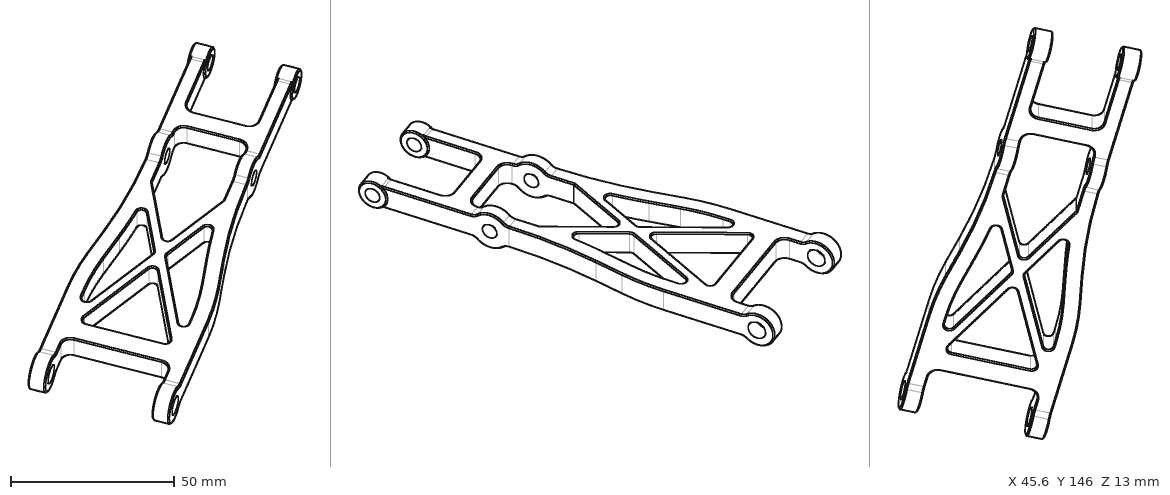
import cadquery as cq
import math

length = 146.0
half_length = length / 2
half_width = 22.8
plate_thickness = 8.0
half_thickness = plate_thickness / 2
edge_chamfer = 0.5

rear_radius = 5.0
rear_hole = 5.0
middle_radius = 6.5
middle_hole = 5.0
front_radius = 6.0
front_hole = 6.0
boss_spacing = 40.0
flare_radius = 3.0
flare_sink = 0.07

rear_y = half_length - rear_radius
middle_y = rear_y - boss_spacing
front_y = front_radius - half_length

rear_arm_outer = 16.5
rear_arm_width = 5.0
rear_arm_inner = rear_arm_outer - rear_arm_width
rear_boss_width = 6.0
front_arm_width = 5.5
front_arm_inner = half_width - front_arm_width

sweep_angle = math.radians(10.8)
upper_sweep_radius = 167.9
lower_sweep_radius = 80.3
sweep_end_y = -34.9

rear_bar_top = 44.4
rear_bar_bottom = 37.8
front_bar_top = -47.3
front_bar_bottom = -54.6
brace_y = -13.5
brace_slope = 0.5
brace_half_gap = 3.8
slot_corner = 3.0
brace_corner = 1.6

margin = 7.3
tall = 2 * (middle_radius + margin)


def prism(outline):
    """Close a plan outline and extrude it through the full height of the part."""
    return outline.close().extrude(tall / 2, both=True)


def both_sides(half):
    """Join a shape with its mirror image across the middle plane."""
    return half.union(half.mirror("YZ"))


def sweep_points(offset):
    """Ends of the swept side's arc, line and arc, moved inward by offset, rear end first."""
    upper = upper_sweep_radius + offset
    lower = lower_sweep_radius - offset
    radius_sum = upper_sweep_radius + lower_sweep_radius
    straight_dx = half_width - rear_arm_outer - radius_sum * (1 - math.cos(sweep_angle))
    straight_dy = straight_dx / math.tan(sweep_angle)
    upper_center_x = rear_arm_outer + upper_sweep_radius
    upper_center_y = sweep_end_y + straight_dy + radius_sum * math.sin(sweep_angle)
    lower_center_x = half_width - lower_sweep_radius
    half_angle = sweep_angle / 2

    def upper_point(angle):
        return (upper_center_x - upper * math.cos(angle), upper_center_y - upper * math.sin(angle))

    def lower_point(angle):
        return (lower_center_x + lower * math.cos(angle), sweep_end_y + lower * math.sin(angle))

    return (
        upper_point(0),
        upper_point(half_angle),
        upper_point(sweep_angle),
        lower_point(sweep_angle),
        lower_point(half_angle),
        lower_point(0),
    )


def side_region(offset):
    """Prism from the middle plane out to the +X side of the part, moved inward by offset."""
    start, upper_mid, upper_end, lower_start, lower_mid, end = sweep_points(offset)
    outline = (
        cq.Workplane("XY")
        .moveTo(0, half_length)
        .lineTo(rear_arm_outer - offset, half_length)
        .lineTo(*start)
        .threePointArc(upper_mid, upper_end)
        .lineTo(*lower_start)
        .threePointArc(lower_mid, end)
        .lineTo(half_width - offset, -half_length)
        .lineTo(0, -half_length)
    )
    return prism(outline)


def end_slot(half_slot_width, bar_y, end_y):
    """Open slot between two arms, from a crossbar out past the end of the part."""
    outline = (
        cq.Workplane("XY")
        .moveTo(-half_slot_width, bar_y)
        .lineTo(half_slot_width, bar_y)
        .lineTo(half_slot_width, end_y)
        .lineTo(-half_slot_width, end_y)
    )
    inner_side = "<Y" if end_y > bar_y else ">Y"
    return prism(outline).edges("|Z").edges(inner_side).fillet(slot_corner)


def rear_window():
    """House-shaped opening between the rear crossbar and the brace."""
    apex_y = brace_y + brace_half_gap
    shoulder_y = apex_y + rear_arm_inner / brace_slope
    window = (
        cq.Workplane("XY")
        .moveTo(0, apex_y)
        .lineTo(rear_arm_inner, shoulder_y)
        .lineTo(rear_arm_inner, rear_bar_bottom)
        .lineTo(-rear_arm_inner, rear_bar_bottom)
        .lineTo(-rear_arm_inner, shoulder_y)
    )
    window = prism(window)
    window = window.edges("|Z").edges(">Y").fillet(slot_corner)
    return window.edges("|Z").edges("<Y").fillet(brace_corner)


def front_window():
    """Triangular opening between the brace and the front crossbar."""
    apex_y = brace_y - brace_half_gap
    base_half = (apex_y - front_bar_top) * brace_slope
    window = (
        cq.Workplane("XY")
        .moveTo(0, apex_y)
        .lineTo(base_half, front_bar_top)
        .lineTo(-base_half, front_bar_top)
    )
    return prism(window).edges("|Z").fillet(brace_corner)


def side_window():
    """Opening between the +X side of the brace and the swept side."""
    brace_x = brace_half_gap * brace_slope
    reach = 2 * half_width
    wedge = (
        cq.Workplane("XY")
        .moveTo(brace_x, brace_y)
        .lineTo(brace_x + reach, brace_y + reach / brace_slope)
        .lineTo(brace_x + reach, brace_y - reach / brace_slope)
    )
    window = prism(wedge).intersect(side_region(front_arm_width))
    return window.edges("|Z").edges("<X or >Y or <Y").fillet(brace_corner)


def flare_run(radius):
    """Distance along Y from a boss axis to the end of its flare."""
    return math.sqrt((radius + flare_radius) ** 2 - (half_thickness + flare_radius) ** 2)


def disc(axis_y, radius):
    """Cylinder along X across the full width of the part."""
    return cq.Workplane("YZ").center(axis_y, 0).circle(radius).extrude(half_width, both=True)


def flares(axis_y, radius, sides):
    """Concave blends between a boss and the plate, on the given sides (1 is +Y, -1 is -Y)."""
    run = flare_run(radius)
    center_z = half_thickness + flare_radius
    touch = radius / (radius + flare_radius)
    touch_z = center_z * touch
    blend = cq.Workplane("YZ")
    for side in sides:
        touch_y = axis_y + side * run * touch
        end_y = axis_y + side * run
        outline = [
            (axis_y, -touch_z),
            (touch_y, -touch_z),
            (end_y, -half_thickness),
            (end_y, half_thickness),
            (touch_y, touch_z),
            (axis_y, touch_z),
        ]
        pad = cq.Workplane("YZ").polyline(outline).close().extrude(half_width, both=True)
        hollows = cq.Workplane("YZ").pushPoints([(end_y, center_z), (end_y, -center_z)])
        pad = pad.cut(hollows.circle(flare_radius).extrude(half_width, both=True))
        blend = blend.add(pad)
    return blend.combine()


def side_prism():
    """Side shape of the whole part, extruded across its width."""
    bar = cq.Workplane("XY").box(2 * half_width, rear_y - front_y, plate_thickness)
    bar = bar.translate((0, (rear_y + front_y) / 2, 0))
    bar = bar.union(flares(rear_y, rear_radius - flare_sink, [-1]))
    bar = bar.union(flares(middle_y, middle_radius, [1, -1])).union(disc(middle_y, middle_radius))
    bar = bar.union(flares(front_y, front_radius, [1])).union(disc(front_y, front_radius))
    return bar.clean()


body = both_sides(side_region(0)).intersect(side_prism())
body = body.cut(end_slot(rear_arm_inner, rear_bar_top, half_length + margin))
body = body.cut(end_slot(front_arm_inner, front_bar_bottom, -half_length - margin))
body = body.cut(rear_window())
body = body.cut(front_window())
body = body.cut(both_sides(side_window()))

middle_strip = cq.selectors.BoxSelector(
    (-edge_chamfer, -half_length, -tall), (edge_chamfer, half_length, tall))
crossbar_edges = body.edges("|X").edges(middle_strip)
body = body.edges("not (|X or |Z)").add(crossbar_edges).chamfer(edge_chamfer)

rear_arm_x = rear_arm_outer - rear_arm_width / 2
for arm_x in (-rear_arm_x, rear_arm_x):
    boss = cq.Workplane("YZ", origin=(arm_x - rear_boss_width / 2, rear_y, 0)).circle(rear_radius)
    boss = boss.extrude(rear_boss_width)
    body = body.union(boss.edges("%CIRCLE").chamfer(edge_chamfer))

for axis_y, diameter in ((rear_y, rear_hole), (middle_y, middle_hole), (front_y, front_hole)):
    body = body.cut(disc(axis_y, diameter / 2))

result = body